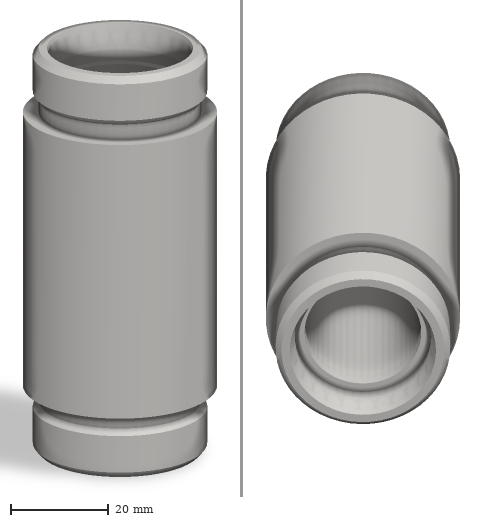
import cadquery as cq

length = 88.0
body_diameter = 40.0
bore_diameter = 24.0

end_length = 14.0
collar_diameter = 36.0
neck_diameter = 33.5
collar_length = 9.4
outer_chamfer_length = 1.4
chamfer_depth = (collar_diameter - neck_diameter) / 2

mouth_diameter = 30.1
seat_diameter = 28.0
taper_depth = 5.5
socket_depth = 7.9


def end_outline():
    """Outer (radius, depth from the end face) points of one end, up to the body edge."""
    collar_radius = collar_diameter / 2
    neck_radius = neck_diameter / 2
    return [
        (collar_radius - chamfer_depth, 0),
        (collar_radius, outer_chamfer_length),
        (collar_radius, collar_length),
        (neck_radius, collar_length + chamfer_depth),
        (neck_radius, end_length),
        (body_diameter / 2, end_length),
    ]


def socket_outline():
    """Inner (radius, depth from the end face) points of one end, from the bore to the mouth."""
    return [
        (bore_diameter / 2, socket_depth),
        (seat_diameter / 2, socket_depth),
        (seat_diameter / 2, taper_depth),
        (mouth_diameter / 2, 0),
    ]


half_length = length / 2
end_section = [(radius, half_length - depth) for radius, depth in socket_outline() + end_outline()]
opposite_section = [(radius, -height) for radius, height in reversed(end_section)]
wall_section = end_section + opposite_section

result = cq.Workplane("XZ").polyline(wall_section).close().revolve(360, (0, 0), (0, 1))